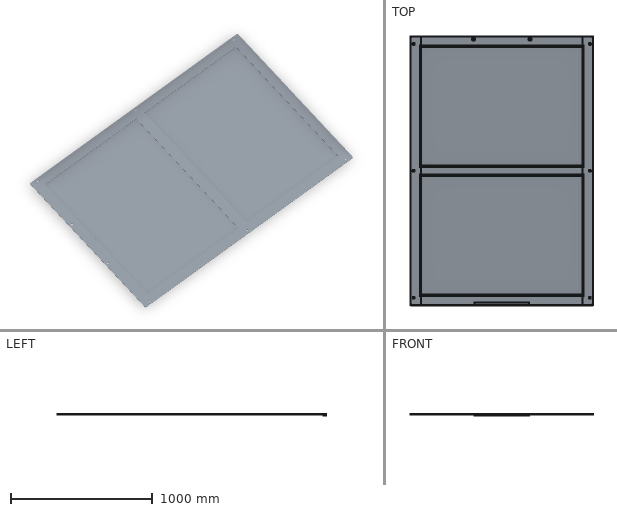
import cadquery as cq

FRAME_WIDTH = 1290.0
FRAME_LENGTH = 1900.0
TOTAL_HEIGHT = 13.1
FRAME_THICKNESS = 3.0
FRAME_BASE = TOTAL_HEIGHT - FRAME_THICKNESS
MEMBER_WIDTH = 76.0
CORNER_RADIUS = 8.0

PANEL_THICKNESS = 3.0
PANEL_OVERLAP = 10.0
PANEL_BASE = FRAME_BASE - PANEL_THICKNESS

OPENING_WIDTH = FRAME_WIDTH - 2 * MEMBER_WIDTH
OPENING_LENGTH = (FRAME_LENGTH - 3 * MEMBER_WIDTH) / 2
RAIL_OFFSET = (FRAME_LENGTH - MEMBER_WIDTH) / 2
STILE_OFFSET = (FRAME_WIDTH - MEMBER_WIDTH) / 2
PANEL_OFFSET = (OPENING_LENGTH + MEMBER_WIDTH) / 2

STILE_HOLE_DIAMETER = 10.0
STILE_HOLE_SIDE_INSET = 23.0
STILE_HOLE_END_INSET = 53.0

RAIL_HOLE_DIAMETER = 15.0
RAIL_HOLE_SPACING = 399.0
RAIL_HOLE_INSET = 20.0

STRIP_LENGTH = 388.0
STRIP_WIDTH = 20.0
STRIP_THICKNESS = FRAME_BASE


def plate(width, length, thickness, x, y, bottom):
    """Flat rectangular plate centred on x, y and resting on the given height."""
    return cq.Workplane("XY", origin=(x, y, bottom)).rect(width, length).extrude(thickness)


def drill(body, points, diameter):
    """Cut vertical through holes at the given points."""
    cutters = cq.Workplane("XY").pushPoints(points).circle(diameter / 2).extrude(TOTAL_HEIGHT)
    return body.cut(cutters)


def make_stile(side):
    """Full-length side member with rounded outer corners and three holes."""
    stile = plate(MEMBER_WIDTH, FRAME_LENGTH, FRAME_THICKNESS, side * STILE_OFFSET, 0, FRAME_BASE)
    outer_edges = "|Z and >X" if side > 0 else "|Z and <X"
    stile = stile.edges(outer_edges).fillet(CORNER_RADIUS)
    hole_x = side * (FRAME_WIDTH / 2 - STILE_HOLE_SIDE_INSET)
    end_hole_y = FRAME_LENGTH / 2 - STILE_HOLE_END_INSET
    points = [(hole_x, y) for y in (-end_hole_y, 0, end_hole_y)]
    return drill(stile, points, STILE_HOLE_DIAMETER)


def make_rail(y):
    """Cross member fitted between the stiles."""
    return plate(OPENING_WIDTH, MEMBER_WIDTH, FRAME_THICKNESS, 0, y, FRAME_BASE)


def drill_hanging_holes(rail):
    """Two holes near the outer edge of the back rail."""
    hole_y = FRAME_LENGTH / 2 - RAIL_HOLE_INSET
    points = [(side * RAIL_HOLE_SPACING / 2, hole_y) for side in (-1, 1)]
    return drill(rail, points, RAIL_HOLE_DIAMETER)


def make_panel(y):
    """Infill panel under one opening, overlapping the members around it."""
    width = OPENING_WIDTH + 2 * PANEL_OVERLAP
    length = OPENING_LENGTH + 2 * PANEL_OVERLAP
    return plate(width, length, PANEL_THICKNESS, 0, y, PANEL_BASE)


def make_grip_strip():
    """Bar under the front rail, flush with its outer edge."""
    strip_y = (STRIP_WIDTH - FRAME_LENGTH) / 2
    return plate(STRIP_LENGTH, STRIP_WIDTH, STRIP_THICKNESS, 0, strip_y, 0)


stiles = [make_stile(side) for side in (-1, 1)]
front_rail, middle_rail, back_rail = [make_rail(y) for y in (-RAIL_OFFSET, 0, RAIL_OFFSET)]
back_rail = drill_hanging_holes(back_rail)
panels = [make_panel(y) for y in (-PANEL_OFFSET, PANEL_OFFSET)]
grip_strip = make_grip_strip()

bodies = [*stiles, front_rail, middle_rail, back_rail, *panels, grip_strip]
result = cq.Compound.makeCompound([body.val() for body in bodies])